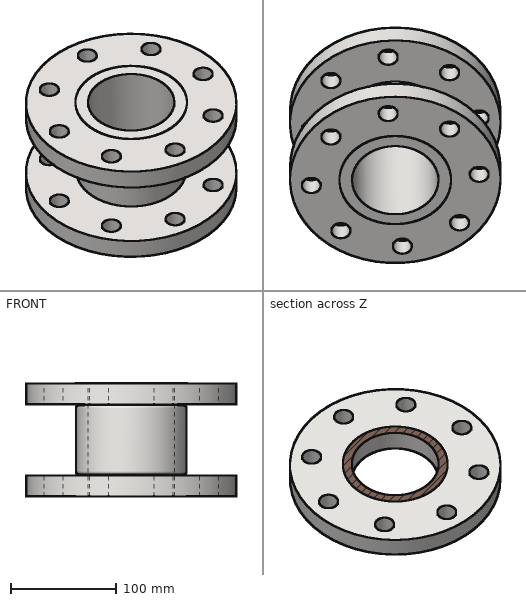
import cadquery as cq

flange_diameter = 200.0
overall_height = 108.0

flange_thickness = 20.0
raised_face_height = 0.5
raised_face_diameter = 106.0
bore_diameter = 82.0

barrel_diameter = 105.2
barrel_fillet = 3.0
neck_height = 0.5
neck_diameter = 88.8

bolt_hole_count = 8
bolt_hole_diameter = 18.0
bolt_circle_diameter = 160.0
bolt_start_angle = 180.0 / bolt_hole_count

half_height = overall_height / 2
flange_outer_z = half_height - raised_face_height
flange_inner_z = flange_outer_z - flange_thickness
barrel_end_z = flange_inner_z - neck_height


def disc(diameter, bottom_z, top_z):
    """Solid cylinder on the Z axis between two heights."""
    return cq.Workplane("XY").workplane(offset=bottom_z).circle(diameter / 2).extrude(top_z - bottom_z)


def make_upper_flange():
    """Upper flange with its raised face and bolt holes."""
    raised_face = disc(raised_face_diameter, flange_outer_z, half_height)
    bolt_holes = (
        cq.Workplane("XY")
        .workplane(offset=flange_inner_z)
        .polarArray(bolt_circle_diameter / 2, bolt_start_angle, 360, bolt_hole_count)
        .circle(bolt_hole_diameter / 2)
        .extrude(flange_thickness)
    )
    return disc(flange_diameter, flange_inner_z, flange_outer_z).cut(bolt_holes).union(raised_face)


def make_barrel():
    """Barrel with rounded ends and a neck reaching both flanges."""
    barrel = disc(barrel_diameter, -barrel_end_z, barrel_end_z).faces("<Z or >Z").fillet(barrel_fillet)
    neck = disc(neck_diameter, -flange_inner_z, flange_inner_z)
    return barrel.union(neck)


upper_flange = make_upper_flange()
lower_flange = upper_flange.mirror("XY")
bore = disc(bore_diameter, -half_height, half_height)

result = make_barrel().union(upper_flange).union(lower_flange).cut(bore)